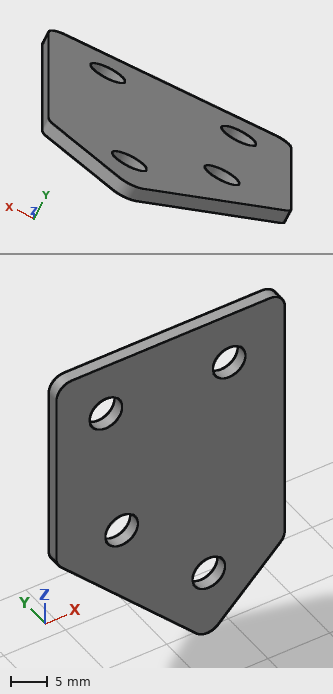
import cadquery as cq
import math

width = 37.0
height = 55.35
thickness = 2.0
corner_radius = 2.5
left_edge_length = 31.9

hole_diameter = 5.25
hole_spacing = 20.0
top_hole_inset = 8.0
top_hole_depth = 8.45
lower_hole_inset = 10.55
lower_hole_depth = 30.55

left = -width / 2
right = width / 2
top = height / 2
tip_z = -height / 2 - corner_radius * (math.sqrt(2) - 1)
left_corner_z = top - left_edge_length
tip_x = left + left_corner_z - tip_z
right_corner_z = tip_z + right - tip_x

outline = [
    (left, top),
    (right, top),
    (right, right_corner_z),
    (tip_x, tip_z),
    (left, left_corner_z),
]

diagonal_step = hole_spacing / math.sqrt(2)
top_hole_x = left + top_hole_inset
top_hole_z = top - top_hole_depth
lower_hole_x = left + lower_hole_inset
lower_hole_z = top - lower_hole_depth
hole_centers = [
    (top_hole_x, top_hole_z),
    (top_hole_x + hole_spacing, top_hole_z),
    (lower_hole_x, lower_hole_z),
    (lower_hole_x + diagonal_step, lower_hole_z - diagonal_step),
]

plate = (
    cq.Workplane("XZ", origin=(0, thickness / 2, 0))
    .polyline(outline)
    .close()
    .extrude(thickness)
    .edges("|Y")
    .fillet(corner_radius)
)

holes = (
    cq.Workplane("XZ", origin=(0, thickness / 2, 0))
    .pushPoints(hole_centers)
    .circle(hole_diameter / 2)
    .extrude(thickness)
)

result = plate.cut(holes)